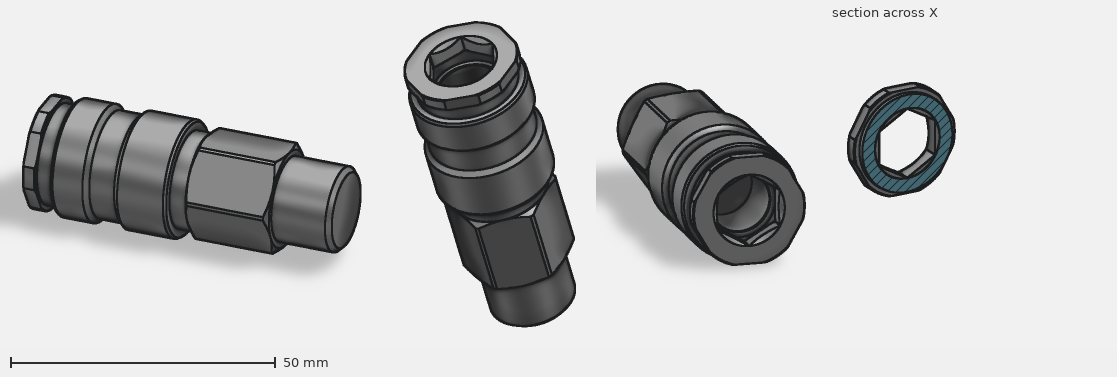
import cadquery as cq
import math

length = 61.5
flange_end = 2.5
sleeve_start = 5.8
waist_start = 13.4
waist_end = 18.45
sleeve_end = 29.35
nut_start = 32.6
nut_end = 49.55

flange_diameter = 22.0
front_neck_diameter = 19.75
sleeve_diameter = 23.0
waist_diameter = 21.0
rear_neck_diameter = 19.05
spigot_diameter = 16.6
flange_chamfer = 0.2
sleeve_end_chamfer = 0.55
sleeve_end_chamfer_height = 0.35
spigot_chamfer = 1.0

hex_half_angle = 30.0
flange_across_flats = 21.0
nut_across_flats = 18.95
nut_corner_diameter = 21.45
nut_chamfer_angle = 30.0
nut_rotation = -5.1

socket_diameter = 14.0
socket_hex_depth = 3.5
socket_depth = 6.35
bore_diameter = 12.0
bore_step_depth = 6.5
inner_bore_diameter = 11.75
bore_depth = 18.45


def revolved(profile):
    """Revolve (x, radius) points, closed along the X axis."""
    first_x = profile[0][0]
    last_x = profile[-1][0]
    outline = [(first_x, 0)] + profile + [(last_x, 0)]
    return cq.Workplane("XY").polyline(outline).close().revolve(360, (0, 0, 0), (1, 0, 0))


def hexagon(start, end, across_flats, rotation=0.0):
    """Hexagonal bar along X; unrotated, two corners point along Y."""
    corner_diameter = across_flats / math.cos(math.radians(hex_half_angle))
    bar = cq.Workplane("YZ", origin=(start, 0, 0)).polygon(6, corner_diameter).extrude(end - start)
    return bar.rotate((0, 0, 0), (1, 0, 0), rotation)


def make_flange():
    radius = flange_diameter / 2
    edge_radius = radius - flange_chamfer
    disc = revolved([
        (0, edge_radius),
        (flange_chamfer, radius),
        (flange_end - flange_chamfer, radius),
        (flange_end, edge_radius),
    ])
    return disc.intersect(hexagon(0, flange_end, flange_across_flats))


def make_body():
    front_neck_radius = front_neck_diameter / 2
    sleeve_radius = sleeve_diameter / 2
    sleeve_edge_radius = sleeve_radius - sleeve_end_chamfer_height
    waist_radius = waist_diameter / 2
    waist_chamfer = sleeve_radius - waist_radius
    rear_neck_radius = rear_neck_diameter / 2
    spigot_radius = spigot_diameter / 2
    return revolved([
        (0, front_neck_radius),
        (sleeve_start, front_neck_radius),
        (sleeve_start, sleeve_edge_radius),
        (sleeve_start + sleeve_end_chamfer, sleeve_radius),
        (waist_start - waist_chamfer, sleeve_radius),
        (waist_start, waist_radius),
        (waist_end, waist_radius),
        (waist_end + waist_chamfer, sleeve_radius),
        (sleeve_end - sleeve_end_chamfer, sleeve_radius),
        (sleeve_end, sleeve_edge_radius),
        (sleeve_end, rear_neck_radius),
        (nut_start, rear_neck_radius),
        (nut_start, spigot_radius),
        (length - spigot_chamfer, spigot_radius),
        (length, spigot_radius - spigot_chamfer),
    ])


def make_nut():
    face_radius = nut_across_flats / 2
    corner_radius = nut_corner_diameter / 2
    chamfer = (corner_radius - face_radius) * math.tan(math.radians(nut_chamfer_angle))
    envelope = revolved([
        (nut_start, face_radius),
        (nut_start + chamfer, corner_radius),
        (nut_end - chamfer, corner_radius),
        (nut_end, face_radius),
    ])
    return envelope.intersect(hexagon(nut_start, nut_end, nut_across_flats, nut_rotation))


def make_socket():
    socket_radius = socket_diameter / 2
    bore_radius = bore_diameter / 2
    inner_bore_radius = inner_bore_diameter / 2
    hex_across_flats = socket_diameter * math.cos(math.radians(hex_half_angle))
    hex_hole = hexagon(0, socket_hex_depth, hex_across_flats, hex_half_angle)
    countersink_depth = (socket_diameter - hex_across_flats) / 2
    countersink = revolved([(0, socket_radius), (countersink_depth, hex_across_flats / 2)])
    bores = revolved([
        (socket_hex_depth, socket_radius),
        (socket_depth, socket_radius),
        (socket_depth, bore_radius),
        (bore_step_depth, bore_radius),
        (bore_step_depth, inner_bore_radius),
        (bore_depth, inner_bore_radius),
    ])
    return hex_hole.union(countersink).union(bores)


result = make_body().union(make_flange()).union(make_nut()).cut(make_socket())